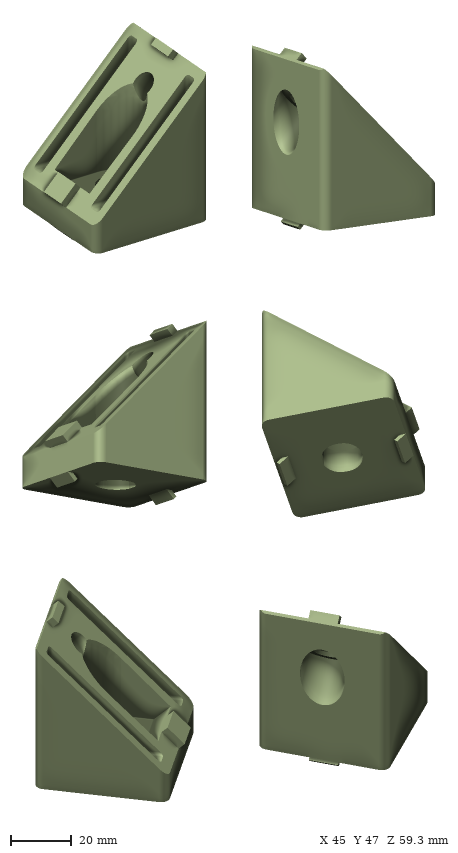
import cadquery as cq
import math


width = 45.0
depth = 45.0
front_height = 10.1
corner_radius = 2.95
top_bevel = 0.7
slope_intercept = front_height + depth
bevel_intercept = slope_intercept - 2 * top_bevel

tab_width = 10.1
tab_rise = 2.0
upper_tab_run = 2.0
front_tab_run = 5.75
base_tab_drop = 2.9
base_tab_thickness = 1.5
base_tab_spacing = 39.95

axis_y = -depth / 2
floor_height = 10.0
cavity_radius = 10.2
cavity_draft = 1.3
cavity_end_fillet = 0.9
cavity_floor_fillet = 0.3
base_hole_radius = 6.35
base_hole_stretch = 0.95
base_hole_flat = 7.05

slope_hole_radius = 4.45
slope_hole_y = -11.25
slope_hole_length = 8.0
relief_radius = 7.7

pocket_width = 4.75
pocket_offset = 16.8
pocket_back = 3.45
pocket_floor = 13.2
pocket_side_draft = 0.7
pocket_back_draft = 0.9
pocket_fillet = 1.05

inward = (0, 1, -1)
reach = 2 * slope_intercept


def slope_z(y):
    """Height of the sloped face at a given Y."""
    return slope_intercept + y


def side_prism(points, size):
    """Prism with a YZ outline, centred on X = 0."""
    return cq.Workplane("YZ").polyline(points).close().extrude(size / 2, both=True)


def make_body():
    outline = [
        (0, 0),
        (0, bevel_intercept),
        (-top_bevel, slope_z(-top_bevel)),
        (-depth, front_height),
        (-depth, 0),
    ]
    blank = cq.Workplane("XY").box(width, depth, reach, centered=(True, True, False))
    blank = blank.edges("|Z").fillet(corner_radius).translate((0, axis_y, 0))
    return blank.intersect(side_prism(outline, width))


def make_slope_tab(upper_y, run):
    """Rectangular tab standing square on the sloped face, sunk slightly for a sound union."""
    sink = top_bevel / 2
    lower_y = upper_y - run
    outline = [
        (upper_y + sink, slope_z(upper_y) - sink),
        (upper_y - tab_rise, slope_z(upper_y) + tab_rise),
        (lower_y - tab_rise, slope_z(lower_y) + tab_rise),
        (lower_y + sink, slope_z(lower_y) - sink),
    ]
    return side_prism(outline, tab_width)


def make_base_tab(front_y):
    """Leaning tab under the base, with its front surface meeting the base at front_y."""
    leaning_run = base_tab_thickness / math.sqrt(2)
    tip_y = front_y + base_tab_drop
    outline = [
        (front_y, 0),
        (tip_y, -base_tab_drop),
        (tip_y + leaning_run, leaning_run - base_tab_drop),
        (front_y + 2 * leaning_run, 0),
    ]
    return side_prism(outline, tab_width)


def make_cavity():
    """Drafted U-shaped cavity, closed at the front by a wall square to the sloped face."""
    rim_y = front_tab_run - depth
    foot_y = rim_y + slope_z(rim_y) - floor_height
    top_z = floor_height + reach
    end_limit = side_prism(
        [
            (reach, floor_height),
            (foot_y, floor_height),
            (foot_y - reach, top_z),
            (reach, top_z),
        ],
        2 * width,
    )
    wall_foot = cq.selectors.NearestToPointSelector((0, foot_y, floor_height))
    end_limit = end_limit.edges(wall_foot).fillet(cavity_end_fillet)
    shaft = (
        cq.Workplane("XY", origin=(0, axis_y, floor_height))
        .moveTo(-cavity_radius, -reach)
        .lineTo(-cavity_radius, 0)
        .threePointArc((0, cavity_radius), (cavity_radius, 0))
        .lineTo(cavity_radius, -reach)
        .close()
        .extrude(slope_intercept, taper=-cavity_draft)
    )
    shaft = shaft.faces("<Z").edges().fillet(cavity_floor_fillet)
    return shaft.intersect(end_limit)


def make_base_hole():
    """Elongated screw hole with a flat at the back."""
    slot = (
        cq.Workplane("XY")
        .center(0, axis_y + base_hole_stretch / 2)
        .slot2D(2 * base_hole_radius + base_hole_stretch, 2 * base_hole_radius, 90)
        .extrude(floor_height + cavity_end_fillet)
    )
    keep = cq.Workplane("XY").box(width, depth, reach).translate(
        (0, axis_y + base_hole_flat - depth / 2, 0)
    )
    return slot.intersect(keep)


def make_slope_hole():
    """Hole square to the sloped face that widens before it leaves through the back face."""
    entry = cq.Plane(
        origin=(0, slope_hole_y, slope_z(slope_hole_y)),
        xDir=(1, 0, 0),
        normal=inward,
    )
    bore = cq.Workplane(entry).workplane(offset=-slope_hole_radius).circle(slope_hole_radius)
    bore = bore.extrude(slope_hole_radius + slope_hole_length)
    relief = cq.Workplane(entry).workplane(offset=slope_hole_length).circle(relief_radius)
    return bore.union(relief.extrude(depth / 2))


def make_pocket(center_x):
    """Three-sided pocket with a steep back wall and a level floor, open at the sloped face."""
    top_y = -pocket_back
    height = slope_z(top_y) - pocket_floor
    corner_y = top_y - height * math.tan(math.radians(pocket_back_draft))
    profile = side_prism(
        [
            (top_y, slope_z(top_y)),
            (corner_y, pocket_floor),
            (pocket_floor - slope_intercept, pocket_floor),
        ],
        width,
    )
    mouth = cq.Plane(
        origin=(0, top_y - height / 2, slope_z(top_y - height / 2)),
        xDir=(1, 0, 0),
        normal=inward,
    )
    wedge = cq.Workplane(mouth).rect(pocket_width, reach).extrude(height, taper=pocket_side_draft)
    pocket = wedge.intersect(profile)
    return pocket.edges("not >(0,-1,1)").fillet(pocket_fillet).translate((center_x, 0, 0))


result = make_body()
result = result.union(make_slope_tab(-top_bevel, upper_tab_run))
result = result.union(make_slope_tab(front_tab_run - depth, front_tab_run))
for tab_y in (-depth, base_tab_spacing - depth):
    result = result.union(make_base_tab(tab_y))

result = result.cut(make_cavity())
result = result.cut(make_base_hole())
result = result.cut(make_slope_hole())
for pocket_x in (-pocket_offset, pocket_offset):
    result = result.cut(make_pocket(pocket_x))